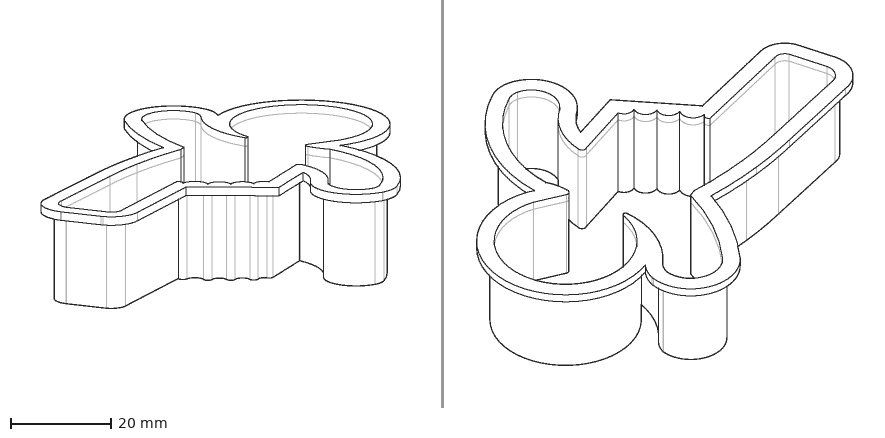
import cadquery as cq
import math


total_height = 19.8
brim_thickness = 1.8
wall_thickness = 0.9
brim_width = 3.5
brim_overhang = brim_width - wall_thickness
wall_height = total_height - brim_thickness

head_center = (-2, 31.2)
head_radius = 14.2
head_top = (head_center[0], head_center[1] + head_radius)
cheek = (10.3, 23.7)

neck_left_upper = (-7.3, 17.9)
neck_left_lower = (-7.2, 16.8)
neck_left_tip_radius = 0.6
neck_right_upper = (6.1, 18.1)
neck_right_lower = (6.85, 16.7)
neck_right_tip_radius = 0.9
shoulder = (11.7, 16.8)
shoulder_radius = 11.7

right_arm_top_radius = 26.1
right_knuckle_start = (32.6, -2.6)
right_knuckle_end = (32.3, -5.4)
right_knuckle_radius = 3.9
right_hand_radius = 5.7
right_wrist = (22.1, -4.9)
right_arm_under_radius = 14.7
armpit_upper = (12.1, 4.0)
armpit_lower = (10.9, 2.9)
armpit_tip_radius = 0.9

bite_start = (11.6, -10.3)
tooth_marks = [
    ((9.6, -12.9), 2.1),
    ((5.6, -15.2), 2.4),
    ((1.5, -17.2), 2.4),
    ((-3.2, -19.0), 2.7),
]
leg_top = (-4.9, -18.5)
leg_top_radius = 1

bite_line_right = (11.6, -11.0)
bite_line_left = (-4.9, -19.0)

heel_inner = (-5.2, -42.5)
sole_right = (-7.0, -44.8)
heel_inner_radius = 2.25
sole_left = (-15.7, -45.4)
heel_outer = (-19.1, -41.5)
heel_outer_radius = 3.4
knee = (-18.6, -20.9)
thigh = (-17.8, -10.3)
thigh_radius = 88.1
hip_lower = (-14.9, 3.4)
hip_radius = 88.1
hip_upper = (-15.1, 5.1)

left_arm_under_radius = 48
left_palm = (-31.6, 19.4)
left_hand_radius = 6.4
left_knuckle_start = (-24.5, 29.0)
left_knuckle_end = (-22.1, 26.7)
left_knuckle_radius = 4.9
left_arm_top_radius = 19.1


def trace_bite(path, marked):
    """Continue the path from the right flank to the leg, along the tooth marks or straight."""
    if not marked:
        return path.lineTo(*bite_line_right).lineTo(*bite_line_left)
    path = path.lineTo(*bite_start)
    for mark_end, mark_radius in tooth_marks:
        path = path.radiusArc(mark_end, -mark_radius)
    return path.radiusArc(leg_top, -leg_top_radius)


def outline(marked):
    """Clockwise outline of the hollow. Positive radii bulge outward, negative ones inward."""
    path = (
        cq.Workplane("XY")
        .moveTo(*neck_left_upper)
        .threePointArc(head_top, cheek)
        .lineTo(*neck_right_upper)
        .radiusArc(neck_right_lower, -neck_right_tip_radius)
        .radiusArc(shoulder, -shoulder_radius)
        .radiusArc(right_knuckle_start, right_arm_top_radius)
        .radiusArc(right_knuckle_end, right_knuckle_radius)
        .radiusArc(right_wrist, right_hand_radius)
        .radiusArc(armpit_upper, -right_arm_under_radius)
        .radiusArc(armpit_lower, -armpit_tip_radius)
    )
    return (
        trace_bite(path, marked)
        .lineTo(*heel_inner)
        .radiusArc(sole_right, heel_inner_radius)
        .lineTo(*sole_left)
        .radiusArc(heel_outer, heel_outer_radius)
        .lineTo(*knee)
        .radiusArc(thigh, thigh_radius)
        .radiusArc(hip_lower, hip_radius)
        .lineTo(*hip_upper)
        .radiusArc(left_palm, left_arm_under_radius)
        .radiusArc(left_knuckle_start, left_hand_radius)
        .radiusArc(left_knuckle_end, left_knuckle_radius)
        .radiusArc(neck_left_lower, -left_arm_top_radius)
        .radiusArc(neck_left_upper, -neck_left_tip_radius)
        .close()
    )


def bite_corner():
    """Square corner that fills out the rounded rim where the flank meets the bite line."""
    corner = cq.Vector(*bite_line_right)
    flank = (corner - cq.Vector(*armpit_lower)).normalized()
    bite = (corner - cq.Vector(*bite_line_left)).normalized()
    flank_foot = corner + cq.Vector(-flank.y, flank.x) * brim_width
    bite_foot = corner + cq.Vector(bite.y, -bite.x) * brim_width
    corner_angle = flank.getAngle(bite)
    rim_corner = corner + (flank + bite).normalized() * (brim_width / math.sin(corner_angle / 2))
    points = [corner, bite_foot, rim_corner, flank_foot]
    return cq.Workplane("XY").polyline([point.toTuple()[:2] for point in points]).close()


wall = (
    outline(marked=True)
    .offset2D(wall_thickness)
    .extrude(wall_height)
    .cut(outline(marked=True).extrude(wall_height))
)

brim = (
    outline(marked=False)
    .offset2D(wall_thickness)
    .offset2D(brim_overhang)
    .extrude(brim_thickness)
    .union(bite_corner().extrude(brim_thickness))
    .cut(outline(marked=True).extrude(brim_thickness))
    .translate((0, 0, wall_height))
)

result = wall.union(brim, clean=False)